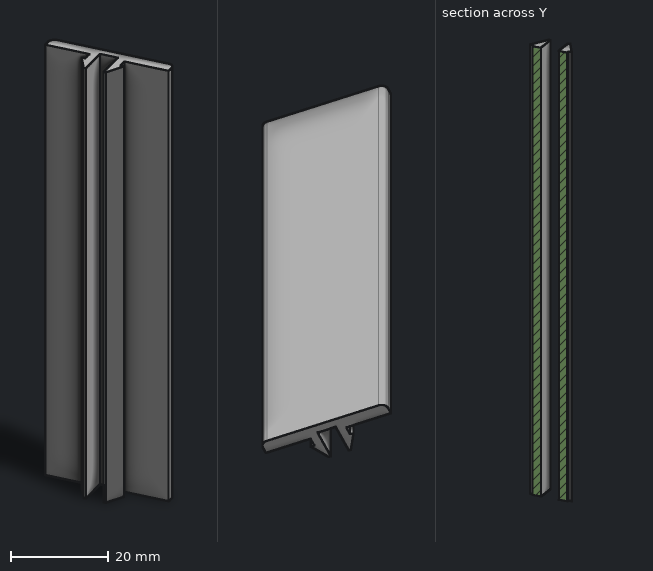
import cadquery as cq

length = 100.0
width = 28.0
depth = 9.0

plate_thickness = 3.0
edge_radius = 1.5

slot_width = 4.0
slot_floor_depth = 2.0
leg_thickness = 2.0
barb_overhang = 0.8
barb_depth = 5.0
tip_width = 0.5

face_y = depth / 2
plate_back_y = face_y - plate_thickness
barb_y = face_y - barb_depth
tip_y = face_y - depth
slot_floor_y = face_y - slot_floor_depth
slot_side_x = slot_width / 2
leg_side_x = slot_side_x + leg_thickness


def make_plate():
    """Flat strip with both long edges of its face rounded."""
    plate = cq.Workplane("XY").box(width, plate_thickness, length)
    plate = plate.edges("|Z and >Y").fillet(edge_radius)
    return plate.translate((0, face_y - plate_thickness / 2, 0))


def make_leg():
    """Leg on the +X side, with a barb that tapers to a narrow tip."""
    return (
        cq.Workplane("XY")
        .workplane(offset=-length / 2)
        .moveTo(slot_side_x, slot_floor_y)
        .lineTo(leg_side_x, slot_floor_y)
        .lineTo(leg_side_x, barb_y)
        .lineTo(leg_side_x + barb_overhang, barb_y)
        .lineTo(slot_side_x + tip_width, tip_y)
        .lineTo(slot_side_x, tip_y)
        .close()
        .extrude(length)
    )


slot_in_plate_depth = plate_thickness - slot_floor_depth
plate_slot = (
    cq.Workplane("XY")
    .box(slot_width, slot_in_plate_depth, length)
    .translate((0, plate_back_y + slot_in_plate_depth / 2, 0))
)

right_leg = make_leg()
left_leg = right_leg.mirror("YZ")
result = make_plate().cut(plate_slot).union(right_leg).union(left_leg)